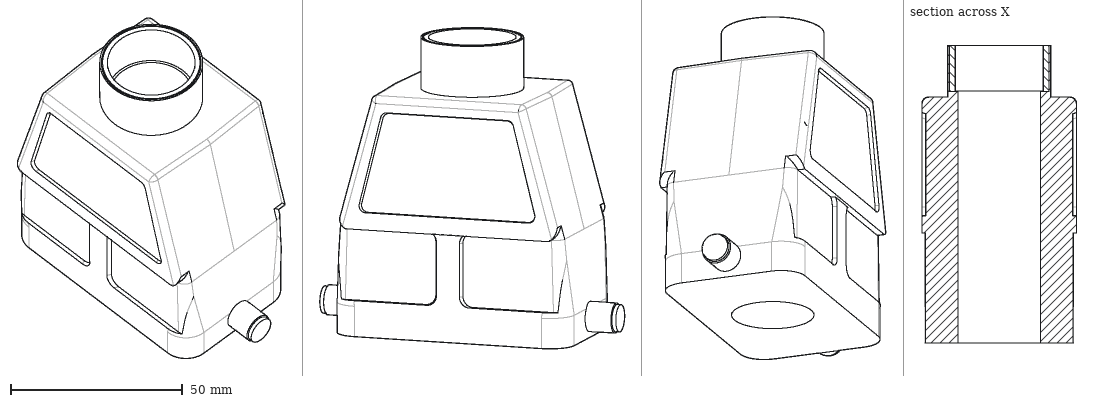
import cadquery as cq

BASE_TOP_Z = 9.0
POCKET_BOTTOM_Z = 10.7
SHOULDER_Z = 32.0
NOTCH_TOP_Z = 35.9
HOOD_TOP_Z = 71.6
COLLAR_TOP_Z = 86.6

BASE_HALF_X = 36.3
SHOULDER_HALF_X = 34.4
TOP_HALF_X = 24.2
TOP_CORNER_HALF_X = 23.3

BASE_HALF_Y = 21.6
CORE_HALF_Y = 20.3
HOOD_HALF_Y = 22.5

BASE_CORNER_R = 7.5
FLARE_SHOULDER_CORNER_R = 3.55
CORE_BASE_CORNER_R = 4.2
CORE_SHOULDER_CORNER_R = 3.0
SIDE_EDGE_R = 2.0
END_EDGE_R = 3.0 / 2

RIB_HALF_X = 3.55
RIB_FLOOR_HALF_X = 4.2
RIB_ZONE_HALF_X = BASE_HALF_X / 2
POCKET_CORNER_R = 3.0
POCKET_TOP_Z = SHOULDER_Z + 0.55
POCKET_OVERRUN = 4.6

NOTCH_INNER_X = 31.25
NOTCH_BULGE_X = 32.8
NOTCH_BULGE_Z = 33.3
NOTCH_OUTER_X = 33.3
NOTCH_INNER_Y = CORE_HALF_Y - CORE_SHOULDER_CORNER_R

PANEL_BOTTOM_Z = 37.1
PANEL_TOP_Z = 67.05
PANEL_BOTTOM_HALF_X = 27.6
PANEL_TOP_HALF_X = 20.0
PANEL_DEPTH = 1.1
PANEL_DRAFT = 0.4
PANEL_CORNER_R = 2.0

COLLAR_R = 30.0 / 2
SLEEVE_R = 29.0 / 2
SLEEVE_TOP_R = 28.3 / 2
SLEEVE_BORE_R = 25.5 / 2
CABLE_BORE_R = 24.0 / 2
SLEEVE_LENGTH = 13.3
SLEEVE_BOTTOM_Z = COLLAR_TOP_Z - SLEEVE_LENGTH

PIN_Z = 6.2
PIN_R = 8.8 / 2
PIN_TIP_R = 8.0 / 2
PIN_END_X = 45.55
PIN_TIP_LENGTH = 1.2
PIN_STEP_LENGTH = 0.2
PIN_EMBED = 0.9
PIN_ROOT_X = BASE_HALF_X - PIN_EMBED


def ruled_loft(*wires):
    return cq.Workplane(cq.Solid.makeLoft(list(wires), True))


def box_between(half_x, half_y, bottom_z, top_z):
    block = cq.Workplane("XY", origin=(0, 0, bottom_z)).rect(2 * half_x, 2 * half_y)
    return block.extrude(top_z - bottom_z)


def cylinder_between(radius, bottom_z, top_z):
    return cq.Workplane("XY", origin=(0, 0, bottom_z)).circle(radius).extrude(top_z - bottom_z)


def on_both_sides(shape):
    """The shape and its mirror image on the other Y side."""
    return shape.union(shape.mirror("XZ"))


def on_four_corners(shape):
    half = on_both_sides(shape)
    return half.union(half.mirror("YZ"))


def roofed_outline(middle_x, corner_x, half_y, z, corner_r=0):
    """Level outline whose two X ends come to a slight ridge at Y = 0."""
    points = [
        (middle_x, 0),
        (corner_x, half_y),
        (-corner_x, half_y),
        (-middle_x, 0),
        (-corner_x, -half_y),
        (corner_x, -half_y),
    ]
    wire = cq.Workplane("XY", origin=(0, 0, z)).polyline(points).close().val()
    if corner_r:
        corners = [vertex for vertex in wire.Vertices() if abs(vertex.Y) > half_y / 2]
        wire = wire.fillet2D(corner_r, corners)
    return wire


def rounded_rectangle(half_x, half_y, z, corner_r):
    wire = cq.Workplane("XY", origin=(0, 0, z)).rect(2 * half_x, 2 * half_y).val()
    return wire.fillet2D(corner_r, wire.Vertices())


def lower_body(half_y, base_r, shoulder_r):
    """Upright skirt, then flat ends that lean inward up to the shoulder."""
    bottom = rounded_rectangle(BASE_HALF_X, half_y, 0, base_r)
    base_top = rounded_rectangle(BASE_HALF_X, half_y, BASE_TOP_Z, base_r)
    shoulder = rounded_rectangle(SHOULDER_HALF_X, half_y, SHOULDER_Z, shoulder_r)
    return ruled_loft(bottom, base_top).union(ruled_loft(base_top, shoulder))


def upper_body(half_y, top_z, corner_r=0):
    """Steeper ends from the shoulder up to top_z."""
    share = (top_z - SHOULDER_Z) / (HOOD_TOP_Z - SHOULDER_Z)
    middle_x = SHOULDER_HALF_X + share * (TOP_HALF_X - SHOULDER_HALF_X)
    corner_x = SHOULDER_HALF_X + share * (TOP_CORNER_HALF_X - SHOULDER_HALF_X)
    return ruled_loft(
        roofed_outline(SHOULDER_HALF_X, SHOULDER_HALF_X, half_y, SHOULDER_Z, corner_r),
        roofed_outline(middle_x, corner_x, half_y, top_z, corner_r),
    )


def pocket_outline(inner_x, y):
    outer_x = BASE_HALF_X + POCKET_OVERRUN
    points = [
        (inner_x, POCKET_BOTTOM_Z),
        (outer_x, POCKET_BOTTOM_Z),
        (outer_x, POCKET_TOP_Z),
        (inner_x, POCKET_TOP_Z),
    ]
    wire = cq.Workplane("XZ", origin=(0, y, 0)).polyline(points).close().val()
    inner_corners = [vertex for vertex in wire.Vertices() if vertex.X < BASE_HALF_X]
    return wire.fillet2D(POCKET_CORNER_R, inner_corners)


def lower_pocket():
    """Side pocket from the rib out past the end, with a drafted wall at the rib."""
    return ruled_loft(
        pocket_outline(RIB_FLOOR_HALF_X, CORE_HALF_Y),
        pocket_outline(RIB_HALF_X, BASE_HALF_Y),
    )


def lower_hood():
    """Flared body with side pockets; above the pockets' bottom its corners shrink to the rounded core."""
    flared = lower_body(BASE_HALF_Y, BASE_CORNER_R, FLARE_SHOULDER_CORNER_R)
    core = lower_body(CORE_HALF_Y, CORE_BASE_CORNER_R, CORE_SHOULDER_CORNER_R)
    skirt = box_between(BASE_HALF_X, BASE_HALF_Y, 0, POCKET_BOTTOM_Z)
    rib_zone = box_between(RIB_ZONE_HALF_X, BASE_HALF_Y, 0, SHOULDER_Z)
    body = flared.intersect(core.union(skirt).union(rib_zone))
    return body.cut(on_four_corners(lower_pocket()))


def rounded_upper_hood():
    """Upper hood with every edge rounded except those at the shoulder."""
    body = upper_body(HOOD_HALF_Y, HOOD_TOP_Z)
    side_edges = body.faces("<Y or >Y").edges().filter(lambda edge: edge.Center().z > NOTCH_TOP_Z)
    body = side_edges.fillet(SIDE_EDGE_R)
    return body.faces(">Z").edges("not |X").fillet(END_EDGE_R)


def corner_notches():
    """Relief with a rounded roof above each core corner; the core itself stays."""
    wedge = (
        cq.Workplane("XZ", origin=(0, NOTCH_INNER_Y, 0))
        .moveTo(NOTCH_INNER_X, SHOULDER_Z)
        .threePointArc((NOTCH_BULGE_X, NOTCH_BULGE_Z), (NOTCH_OUTER_X, NOTCH_TOP_Z))
        .lineTo(BASE_HALF_X, NOTCH_TOP_Z)
        .lineTo(BASE_HALF_X, SHOULDER_Z)
        .close()
        .extrude(NOTCH_INNER_Y - HOOD_HALF_Y)
    )
    core = upper_body(CORE_HALF_Y, NOTCH_TOP_Z, CORE_SHOULDER_CORNER_R)
    return on_four_corners(wedge).cut(core)


def panel_outline(inset, y):
    points = [
        (-PANEL_BOTTOM_HALF_X + inset, PANEL_BOTTOM_Z),
        (PANEL_BOTTOM_HALF_X - inset, PANEL_BOTTOM_Z),
        (PANEL_TOP_HALF_X - inset, PANEL_TOP_Z - inset),
        (-PANEL_TOP_HALF_X + inset, PANEL_TOP_Z - inset),
    ]
    wire = cq.Workplane("XZ", origin=(0, y, 0)).polyline(points).close().val()
    return wire.fillet2D(PANEL_CORNER_R, wire.Vertices())


def side_panels():
    panel = ruled_loft(
        panel_outline(PANEL_DRAFT, HOOD_HALF_Y - PANEL_DEPTH),
        panel_outline(0, HOOD_HALF_Y),
    )
    return on_both_sides(panel)


def locking_pin():
    """Pin along X with a stepped tip, revolved about its own axis."""
    tip_x = PIN_END_X - PIN_TIP_LENGTH
    profile = [
        (PIN_ROOT_X, 0),
        (PIN_ROOT_X, PIN_R),
        (tip_x - PIN_STEP_LENGTH, PIN_R),
        (tip_x, PIN_TIP_R),
        (PIN_END_X, PIN_TIP_R),
        (PIN_END_X, 0),
    ]
    outline = cq.Workplane("XZ", origin=(0, 0, PIN_Z)).polyline(profile).close()
    return outline.revolve(360, (0, 0, 0), (1, 0, 0))


def make_sleeve():
    """Cable sleeve with a small chamfer around its top outer edge."""
    blank = cylinder_between(SLEEVE_R, SLEEVE_BOTTOM_Z, COLLAR_TOP_Z)
    blank = blank.faces(">Z").edges().chamfer(SLEEVE_R - SLEEVE_TOP_R)
    return blank.cut(cylinder_between(SLEEVE_BORE_R, SLEEVE_BOTTOM_Z, COLLAR_TOP_Z))


def make_hood():
    pin = locking_pin()
    collar = cylinder_between(COLLAR_R, SHOULDER_Z, COLLAR_TOP_Z)
    cable_bore = cylinder_between(CABLE_BORE_R, 0, COLLAR_TOP_Z)
    sleeve_seat = cylinder_between(SLEEVE_R, SLEEVE_BOTTOM_Z, COLLAR_TOP_Z)
    upper = rounded_upper_hood().cut(corner_notches()).cut(side_panels())
    body = upper.union(lower_hood()).union(collar).union(pin).union(pin.mirror("YZ"))
    return body.cut(cable_bore).cut(sleeve_seat)


hood = make_hood().solids()
sleeve = make_sleeve().solids()

result = cq.Compound.makeCompound([hood.val(), sleeve.val()])